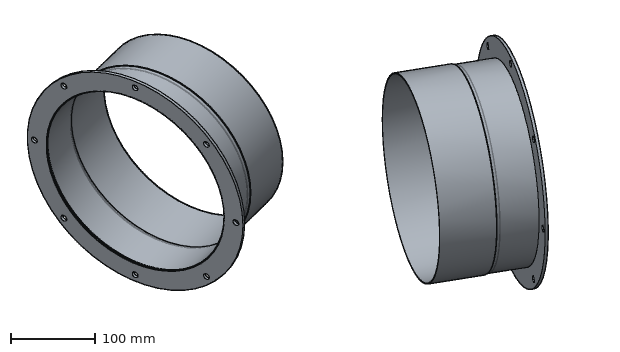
import cadquery as cq

flange_diameter = 306.0
flange_thickness = 4.0
bolt_count = 8
bolt_hole_diameter = 8.0
bolt_circle_diameter = 286.0

overall_depth = 127.0
neck_diameter = 252.5
sleeve_diameter = 255.0
wall = 1.2
collar_recess = 1.5
taper_start = 52.0
taper_end = 56.0
lip_end = 57.0
lip_height = 0.5

neck_radius = neck_diameter / 2
sleeve_radius = sleeve_diameter / 2


def make_flange():
    """Flat ring whose bore fits the collar neck, with a circle of bolt holes."""
    ring = (
        cq.Workplane("XZ")
        .circle(flange_diameter / 2)
        .circle(neck_radius)
        .extrude(-flange_thickness)
    )
    bolt_holes = (
        cq.Workplane("XZ")
        .polarArray(bolt_circle_diameter / 2, 0, 360, bolt_count)
        .circle(bolt_hole_diameter / 2)
        .extrude(-flange_thickness)
    )
    return ring.cut(bolt_holes)


def make_collar():
    """Thin tube revolved about Y, starting just behind the flange front face."""
    outer_wall = [
        (neck_radius, collar_recess),
        (neck_radius, taper_start),
        (sleeve_radius - lip_height, taper_end),
        (sleeve_radius, lip_end),
        (sleeve_radius, overall_depth),
    ]
    inner_wall = [
        (sleeve_radius - wall, overall_depth),
        (sleeve_radius - wall, taper_end),
        (neck_radius - wall, taper_start),
        (neck_radius - wall, collar_recess),
    ]
    return (
        cq.Workplane("XY")
        .polyline(outer_wall + inner_wall)
        .close()
        .revolve(360, (0, 0, 0), (0, 1, 0))
    )


flange = make_flange()
collar = make_collar()

result = cq.Compound.makeCompound([flange.val(), collar.val()])